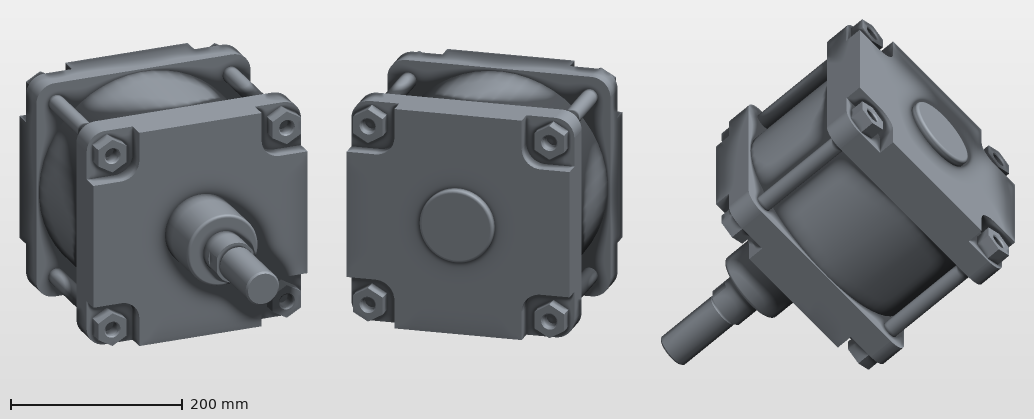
import cadquery as cq
import math

rear_face = 9.5
barrel_start = 61.0
barrel_end = 183.5
boss_end = 303.7
flats_start = 320.5
shoulder_end = 341.5
thread_start = 346.0
rod_end = 426.0

cap_side = 270.0
cap_thickness = barrel_start - rear_face
front_face = barrel_end + cap_thickness
corner_radius = 23.0
pocket_side = 58.0
pocket_depth = 20.5
boss_diameter = 89.5
boss_fillet = 3.5

barrel_diameter = 263.3

rod_diameter = 50.0
rod_across_flats = 46.0
neck_diameter = 38.5
thread_diameter = 42.0
neck_taper = 2.5
tip_chamfer = 2.0

tie_rod_offset = 110.0
tie_rod_diameter = 20.0
head_across_flats = 35.8
head_height = 18.0
end_bore_diameter = 17.0
end_bore_depth = head_height
end_bore_chamfer = 1.5

SIGNS = (-1, 1)
TIE_ROD_CENTRES = [(y * tie_rod_offset, z * tie_rod_offset) for y in SIGNS for z in SIGNS]


def plane_at(x):
    """Sketch plane at station x: local axes are Y and Z, the normal is +X."""
    return cq.Workplane("YZ", origin=(x, 0, 0))


def cylinder(start, end, diameter):
    return plane_at(start).circle(diameter / 2).extrude(end - start)


def make_cap(inner_face, outer_face, boss_face):
    """Square cap with corner pockets and a round boss on its outer face."""
    outward = 1 if outer_face > inner_face else -1
    cap = (
        plane_at(inner_face)
        .rect(cap_side, cap_side)
        .extrude(outer_face - inner_face)
        .edges("|X")
        .fillet(corner_radius)
    )

    pockets = (
        plane_at(outer_face)
        .rect(cap_side, cap_side, forConstruction=True)
        .vertices()
        .rect(2 * pocket_side, 2 * pocket_side)
        .extrude(-outward * pocket_depth)
        .edges("|X")
        .fillet(corner_radius)
    )
    cap = cap.cut(pockets)

    boss = (
        cylinder(outer_face, boss_face, boss_diameter)
        .faces(">X" if outward > 0 else "<X")
        .edges()
        .fillet(boss_fillet)
    )
    cap = cap.union(boss)

    tie_rod_holes = (
        plane_at(inner_face)
        .pushPoints(TIE_ROD_CENTRES)
        .circle(tie_rod_diameter / 2)
        .extrude(outer_face - inner_face)
    )
    return cap.cut(tie_rod_holes)


def make_front_cap():
    """Front cap, bored through for the piston rod."""
    cap = make_cap(barrel_end, front_face, boss_end)
    return cap.cut(cylinder(barrel_end, boss_end, rod_diameter))


def make_piston_rod():
    """Rod with two wrench flats, an undercut neck and a chamfered thread end."""
    neck_end = thread_start - neck_taper
    tip_start = rod_end - tip_chamfer
    rod_radius = rod_diameter / 2
    neck_radius = neck_diameter / 2
    thread_radius = thread_diameter / 2
    profile = [
        (barrel_end, 0),
        (barrel_end, rod_radius),
        (shoulder_end, rod_radius),
        (shoulder_end, neck_radius),
        (neck_end, neck_radius),
        (thread_start, thread_radius),
        (tip_start, thread_radius),
        (rod_end, thread_radius - tip_chamfer),
        (rod_end, 0),
    ]
    rod = cq.Workplane("XY").polyline(profile).close().revolve(360, (0, 0, 0), (1, 0, 0))

    flats_length = shoulder_end - flats_start
    flats_cutter = (
        plane_at(flats_start)
        .rect(2 * rod_diameter, 2 * rod_diameter)
        .rect(rod_across_flats, 2 * rod_diameter)
        .extrude(flats_length)
    )
    return rod.cut(flats_cutter)


def make_tie_rod(y, z):
    """Tie rod with a hexagon head and a chamfered blind bore at each end."""
    rear_seat = rear_face + pocket_depth
    front_seat = front_face - pocket_depth
    rear_end = rear_seat - head_height
    front_end = front_seat + head_height
    head_across_corners = head_across_flats / math.cos(math.pi / 6)

    tie_rod = cylinder(rear_seat, front_seat, tie_rod_diameter)
    for seat, end in ((rear_seat, rear_end), (front_seat, front_end)):
        head = (
            plane_at(seat)
            .transformed(rotate=(0, 0, 90))
            .polygon(6, head_across_corners)
            .extrude(end - seat)
        )
        tie_rod = tie_rod.union(head)
    for end, inward, end_selector in ((rear_end, 1, "<X"), (front_end, -1, ">X")):
        bore = cylinder(end, end + inward * end_bore_depth, end_bore_diameter)
        tie_rod = tie_rod.cut(bore)
        tie_rod = tie_rod.faces(end_selector).edges("%CIRCLE").chamfer(end_bore_chamfer)
    return tie_rod.translate((0, y, z))


rear_cap = make_cap(barrel_start, rear_face, 0)
barrel = cylinder(barrel_start, barrel_end, barrel_diameter)
front_cap = make_front_cap()
piston_rod = make_piston_rod()
tie_rods = [make_tie_rod(y, z) for y, z in TIE_ROD_CENTRES]

result = cq.Compound.makeCompound(
    [
        rear_cap.val(),
        barrel.val(),
        front_cap.val(),
        piston_rod.val(),
        *[tie_rod.val() for tie_rod in tie_rods],
    ]
)